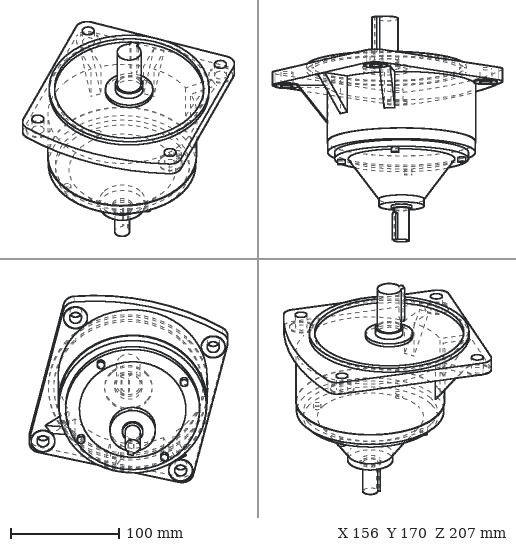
import cadquery as cq
import math


FLANGE_WIDTH = 156.0
FLANGE_THICKNESS = 12.0
FLANGE_FRONT_REACH = 92.0
FLANGE_FRONT_RADIUS = 225.0
FLANGE_CORNER_RADIUS = 11.0
BOLT_CIRCLE = 185.0
MOUNT_HOLE_DIAMETER = 11.0
PAD_DIAMETER = 22.0
PAD_HEIGHT = 1.0

RING_OUTER_DIAMETER = 148.0
RING_INNER_DIAMETER = 138.0
RING_HEIGHT = 4.0
RECESS_FLOOR = 0.0
HUB_DIAMETER = 44.0
HUB_TOP = 3.0

COLLAR_DIAMETER = 25.5
COLLAR_TOP = 9.0
OUTPUT_DIAMETER = 22.0
OUTPUT_TOP = 49.0
OUTPUT_KEY_WIDTH = 7.0
OUTPUT_KEY_LENGTH = 35.0
OUTPUT_KEY_REACH = 14.0

HOUSING_OFFSET = -18.3
BODY_DIAMETER = 137.75
BODY_BOTTOM = -65.0
BAND_DIAMETER = 136.5
BAND_BOTTOM = -75.0
COVER_DIAMETER = 124.0
COVER_BOTTOM = -81.0
CONE_TOP_DIAMETER = 98.5
CONE_BOTTOM = -119.0
NOSE_DIAMETER = 42.0
NOSE_BOTTOM = -125.5
SEAL_DIAMETER = 19.0
SEAL_BOTTOM = -128.0

SCREW_DIAMETER = 7.0
SCREW_HEIGHT = 4.0
SCREW_CIRCLE = 112.0

INPUT_DIAMETER = 14.0
INPUT_BOTTOM = -158.0
INPUT_KEY_WIDTH = 5.0
INPUT_KEY_LENGTH = 26.0
INPUT_KEY_REACH = 9.0

RIB_THICKNESS = 10.0
RIB_REACH = 95.3
RIB_EMBED = 10.0
RIB_BOTTOM = -46.0
SIDE_RIB_ANGLE = 41.7


def disc(diameter, top, bottom, y=0.0):
    """Upright cylinder between two levels, centred at (0, y)."""
    return cq.Workplane("XY", origin=(0, y, bottom)).circle(diameter / 2).extrude(top - bottom)


def square_pattern(circle_diameter, y=0.0):
    """Four points on a circle at 45 degrees to the axes."""
    reach = circle_diameter / 2 * math.sin(math.radians(45))
    return [(sx * reach, y + sy * reach) for sx in (-1, 1) for sy in (-1, 1)]


def make_flange():
    half = FLANGE_WIDTH / 2
    arc_drop = FLANGE_FRONT_RADIUS - math.sqrt(FLANGE_FRONT_RADIUS ** 2 - half ** 2)
    front_corner = arc_drop - FLANGE_FRONT_REACH
    plate = (
        cq.Workplane("XY", origin=(0, 0, -FLANGE_THICKNESS))
        .moveTo(-half, half)
        .lineTo(-half, front_corner)
        .threePointArc((0, -FLANGE_FRONT_REACH), (half, front_corner))
        .lineTo(half, half)
        .close()
        .extrude(FLANGE_THICKNESS)
        .edges("|Z")
        .fillet(FLANGE_CORNER_RADIUS)
    )
    pads = (
        cq.Workplane("XY", origin=(0, 0, -FLANGE_THICKNESS - PAD_HEIGHT))
        .pushPoints(square_pattern(BOLT_CIRCLE))
        .circle(PAD_DIAMETER / 2)
        .extrude(PAD_HEIGHT)
    )
    return plate.union(pads).union(disc(RING_OUTER_DIAMETER, RING_HEIGHT, 0))


def make_housing():
    y = HOUSING_OFFSET
    cone = (
        cq.Workplane("XY", origin=(0, y, COVER_BOTTOM))
        .circle(CONE_TOP_DIAMETER / 2)
        .workplane(offset=CONE_BOTTOM - COVER_BOTTOM)
        .circle(NOSE_DIAMETER / 2)
        .loft(ruled=True)
    )
    return (
        disc(BODY_DIAMETER, -FLANGE_THICKNESS, BODY_BOTTOM, y)
        .union(disc(BAND_DIAMETER, BODY_BOTTOM, BAND_BOTTOM, y))
        .union(disc(COVER_DIAMETER, BAND_BOTTOM, COVER_BOTTOM, y))
        .union(cone)
        .union(disc(NOSE_DIAMETER, CONE_BOTTOM, NOSE_BOTTOM, y))
        .union(disc(SEAL_DIAMETER, NOSE_BOTTOM, SEAL_BOTTOM, y))
    )


def make_screws():
    return (
        cq.Workplane("XY", origin=(0, 0, COVER_BOTTOM - SCREW_HEIGHT))
        .pushPoints(square_pattern(SCREW_CIRCLE, HOUSING_OFFSET))
        .circle(SCREW_DIAMETER / 2)
        .extrude(SCREW_HEIGHT)
    )


def make_rib(angle):
    """Triangular rib from the housing to the flange, turned about the housing axis."""
    wall = BODY_DIAMETER / 2
    inside = wall - RIB_EMBED
    rib = (
        cq.Workplane("YZ", origin=(-RIB_THICKNESS / 2, 0, 0))
        .moveTo(inside, -FLANGE_THICKNESS)
        .lineTo(RIB_REACH, -FLANGE_THICKNESS)
        .lineTo(wall, RIB_BOTTOM)
        .lineTo(inside, RIB_BOTTOM)
        .close()
        .extrude(RIB_THICKNESS)
    )
    return rib.rotate((0, 0, 0), (0, 0, 1), angle).translate((0, HOUSING_OFFSET, 0))


def make_key(width, reach, shaft_end, inner_end, y=0.0):
    """Key on the +Y side, flush with the shaft end and rounded at its inner end."""
    radius = width / 2
    inward = math.copysign(radius, inner_end - shaft_end)
    straight_end = inner_end - inward
    return (
        cq.Workplane("XZ", origin=(0, y, 0))
        .moveTo(-radius, shaft_end)
        .lineTo(-radius, straight_end)
        .threePointArc((0, inner_end), (radius, straight_end))
        .lineTo(radius, shaft_end)
        .close()
        .extrude(-reach)
    )


def make_output_shaft():
    key = make_key(OUTPUT_KEY_WIDTH, OUTPUT_KEY_REACH, OUTPUT_TOP, OUTPUT_TOP - OUTPUT_KEY_LENGTH)
    return (
        disc(HUB_DIAMETER, HUB_TOP, -FLANGE_THICKNESS)
        .union(disc(COLLAR_DIAMETER, COLLAR_TOP, -FLANGE_THICKNESS))
        .union(disc(OUTPUT_DIAMETER, OUTPUT_TOP, -FLANGE_THICKNESS))
        .union(key)
    )


def make_input_shaft():
    y = HOUSING_OFFSET
    inner_end = INPUT_BOTTOM + INPUT_KEY_LENGTH
    key = make_key(INPUT_KEY_WIDTH, INPUT_KEY_REACH, INPUT_BOTTOM, inner_end, y)
    return disc(INPUT_DIAMETER, NOSE_BOTTOM, INPUT_BOTTOM, y).union(key)


def make_mount_holes():
    return (
        cq.Workplane("XY", origin=(0, 0, -FLANGE_THICKNESS - PAD_HEIGHT))
        .pushPoints(square_pattern(BOLT_CIRCLE))
        .circle(MOUNT_HOLE_DIAMETER / 2)
        .extrude(FLANGE_THICKNESS + PAD_HEIGHT)
    )


result = make_flange().cut(disc(RING_INNER_DIAMETER, RING_HEIGHT, RECESS_FLOOR))
result = result.union(make_housing()).union(make_screws())
for rib_angle in (-SIDE_RIB_ANGLE, 0, SIDE_RIB_ANGLE):
    result = result.union(make_rib(rib_angle))
result = result.union(make_output_shaft()).union(make_input_shaft())
result = result.cut(make_mount_holes())